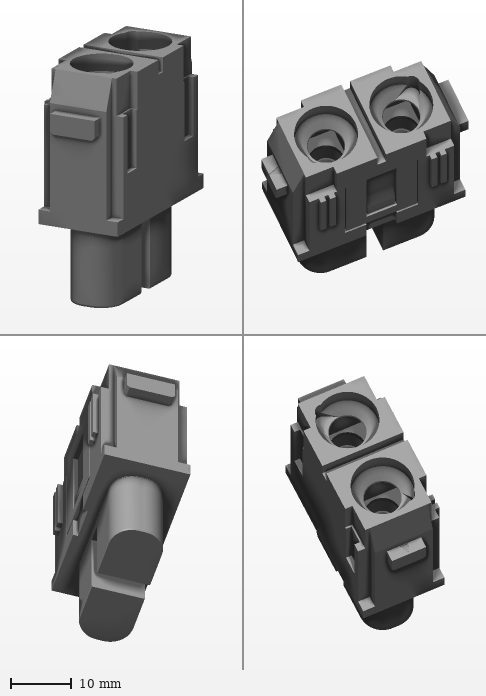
import cadquery as cq
import math

body_width = 14.75
body_length = 30.0
body_height = 26.5
end_wall_width = 10.5
flange_height = 2.5
corner_step = 2.0
end_chamfer_drop = 5.3

shoulder_drop = 6.45
shoulder_z = body_height - shoulder_drop
recess_inner_y = 8.05
recess_depth_left = 1.4
recess_depth_right = 1.3

top_slot_width = 1.55
top_slot_depth = 2.5

rib_height = 0.85
rib_width = 1.0
rib_length = 10.1
rib_centres = (9.1, 10.8)
rib_clearance = 0.25
pocket_depth = 1.0

lug_projection = 2.0
lug_height = 3.5
lug_chamfer = 0.5
front_lug_width = 8.3
rear_lug_width = 6.2
arrow_width = 1.4
arrow_length = 1.9
arrow_depth = 0.2

chamber_spacing = 13.5
chamber_radius = 5.25
chamber_depth = 3.0
funnel_radius = 3.15
funnel_depth = 4.25
lip_radius = 3.05
lip_depth = 4.5
cavity_width = 10.0
cavity_length = 7.0
cavity_depth = 10.0
seat_radius = 2.25
seat_depth = 13.0
seat_taper_height = 2.0
tip_radius = 2.0
tip_height = 2.5

key_angle = 133.5
key_root_radius = 2.75
key_end_radius = 1.4
key_end_distance = 4.25

panel_width = 12.7
panel_bottom_z = 4.45
slit_width = 0.2
gap_height = 0.53
latch_depth = 0.85
window_width = 5.5
window_bottom_z = 6.7
catch_width = 4.95
catch_clearance = 0.28
catch_height = 5.5
catch_face_height = 2.25
catch_projection = 0.6

tower_width = 9.2
tower_length = 24.1
tower_height = 14.0
tower_corner_radius = 4.0
collar_projection = 0.06
collar_height = 0.15
tower_edge_width = 0.1
tower_edge_height = 0.3
tower_slot_width = 3.0
tower_slot_depth = 12.2

side_x = body_width / 2
end_y = body_length / 2
step_y = end_y - corner_step


def block(x_range, y_range, z_range):
    """Box between the given limits along each axis."""
    (x0, x1), (y0, y1), (z0, z1) = x_range, y_range, z_range
    return cq.Workplane("XY").box(x1 - x0, y1 - y0, z1 - z0, centered=False).translate((x0, y0, z0))


def centred(width):
    """Limits of a span centred on zero."""
    return (-width / 2, width / 2)


def mirrored(span, sign):
    """The span itself, or its mirror image when sign is -1."""
    return tuple(sorted(sign * value for value in span))


def make_body():
    """Flanged housing with stepped corners and sloped upper ends."""
    flange = block(centred(body_width), centred(body_length), (0, flange_height))
    middle = block(centred(body_width), centred(2 * step_y), (0, body_height))
    end_walls = (
        cq.Workplane("YZ")
        .moveTo(-end_y, 0)
        .lineTo(end_y, 0)
        .lineTo(end_y, body_height - end_chamfer_drop)
        .lineTo(step_y, body_height)
        .lineTo(-step_y, body_height)
        .lineTo(-end_y, body_height - end_chamfer_drop)
        .close()
        .extrude(end_wall_width / 2, both=True)
    )
    return flange.union(middle).union(end_walls)


def make_tower():
    """Rounded tower with a thin collar and a narrowed bottom edge, split by a slot across X."""
    tower = (
        cq.Workplane("XY")
        .rect(tower_width, tower_length)
        .extrude(-tower_height)
        .edges("|Z")
        .fillet(tower_corner_radius)
        .faces("<Z")
        .chamfer(tower_edge_height, tower_edge_width)
    )
    collar = (
        cq.Workplane("XY")
        .rect(tower_width + 2 * collar_projection, tower_length + 2 * collar_projection)
        .extrude(-collar_height)
        .edges("|Z")
        .fillet(tower_corner_radius + collar_projection)
    )
    slot = block(
        centred(tower_width),
        centred(tower_slot_width),
        (-tower_height, tower_slot_depth - tower_height),
    )
    return tower.union(collar).cut(slot)


def make_lug(width, end):
    """Lug on the end wall; end is -1 for the -Y wall and 1 for the +Y wall."""
    y_range = mirrored((end_y - corner_step, end_y + lug_projection), end)
    lug = block(centred(width), y_range, (shoulder_z - lug_height, shoulder_z))
    return lug.edges("|Y and <Z").chamfer(lug_chamfer)


def make_arrow():
    """Shallow arrowhead sunk into the top of the +Y lug, pointing outward."""
    tip_y = end_y + lug_projection
    return (
        cq.Workplane("XY", origin=(0, 0, shoulder_z - arrow_depth))
        .moveTo(0, tip_y)
        .lineTo(-arrow_width / 2, tip_y - arrow_length)
        .lineTo(arrow_width / 2, tip_y - arrow_length)
        .close()
        .extrude(arrow_depth)
    )


def make_ribs():
    """Two guide ribs near each end of the -X side."""
    ribs = cq.Workplane("XY")
    for end in (-1, 1):
        for centre in rib_centres:
            y_range = mirrored((centre - rib_width / 2, centre + rib_width / 2), end)
            rib = block((-side_x - rib_height, -side_x), y_range, (shoulder_z - rib_length, shoulder_z))
            ribs = ribs.union(rib)
    return ribs


def make_side_recesses():
    """Upper side recesses, and below those on +X the pockets for guide ribs."""
    cuts = cq.Workplane("XY")
    rib_pair = (
        min(rib_centres) - rib_width / 2 - rib_clearance,
        max(rib_centres) + rib_width / 2 + rib_clearance,
    )
    for end in (-1, 1):
        recess_y = mirrored((recess_inner_y, step_y), end)
        recess_z = (shoulder_z, body_height)
        left = block((-side_x, -side_x + recess_depth_left), recess_y, recess_z)
        right = block((side_x - recess_depth_right, side_x), recess_y, recess_z)
        pocket = block(
            (side_x - pocket_depth, side_x),
            mirrored(rib_pair, end),
            (shoulder_z - rib_length, shoulder_z),
        )
        cuts = cuts.union(left).union(right).union(pocket)
    return cuts


def make_key_slot():
    """Tapered slot along +X with a round end, cut down to the funnel bottom."""
    tangent_angle = math.acos((key_root_radius - key_end_radius) / key_end_distance)
    root_x = key_root_radius * math.cos(tangent_angle)
    root_y = key_root_radius * math.sin(tangent_angle)
    end_x = key_end_distance + key_end_radius * math.cos(tangent_angle)
    end_half_width = key_end_radius * math.sin(tangent_angle)
    return (
        cq.Workplane("XY")
        .moveTo(root_x, -root_y)
        .lineTo(end_x, -end_half_width)
        .threePointArc((key_end_distance + key_end_radius, 0), (end_x, end_half_width))
        .lineTo(root_x, root_y)
        .close()
        .extrude(-funnel_depth)
    )


def make_chamber(end):
    """Funnelled contact chamber with a key slot, opening into a rectangular cavity over a conical tip."""
    bore = (
        cq.Workplane("XZ")
        .moveTo(0, 0)
        .lineTo(chamber_radius, 0)
        .lineTo(chamber_radius, -chamber_depth)
        .lineTo(funnel_radius, -funnel_depth)
        .lineTo(lip_radius, -lip_depth)
        .lineTo(lip_radius, seat_taper_height - seat_depth)
        .lineTo(seat_radius, -seat_depth)
        .lineTo(tip_radius, -seat_depth)
        .lineTo(0, tip_height - seat_depth)
        .close()
        .revolve(360, (0, 0), (0, 1))
    )
    cavity = block(centred(cavity_width), centred(cavity_length), (-cavity_depth, -lip_depth))
    turn = key_angle if end > 0 else key_angle + 180
    key_slot = make_key_slot().rotate((0, 0, 0), (0, 0, 1), turn)
    return bore.union(cavity).union(key_slot).translate((0, end * chamber_spacing / 2, body_height))


def make_latch_cuts():
    """Slits around the latch panel, its window and the notch under it."""
    depth_x = (-side_x, -side_x + latch_depth)
    outer_width = panel_width + 2 * slit_width
    gap_bottom_z = panel_bottom_z - gap_height
    window = block(depth_x, centred(window_width), (window_bottom_z, shoulder_z))
    gap = block(depth_x, centred(outer_width), (gap_bottom_z, panel_bottom_z))
    notch = block(depth_x, centred(window_width), (0, gap_bottom_z))
    cuts = window.union(gap).union(notch)
    for side in (-1, 1):
        slit_y = mirrored((panel_width / 2, outer_width / 2), side)
        cuts = cuts.union(block(depth_x, slit_y, (gap_bottom_z, shoulder_z)))
    return cuts


def make_catch():
    """Ramped catch standing on the floor of the latch window."""
    floor_x = -side_x + latch_depth
    bottom_z = window_bottom_z + catch_clearance
    return (
        cq.Workplane("XZ")
        .moveTo(floor_x, bottom_z)
        .lineTo(floor_x - catch_projection, bottom_z)
        .lineTo(floor_x - catch_projection, bottom_z + catch_face_height)
        .lineTo(floor_x, bottom_z + catch_height)
        .close()
        .extrude(catch_width / 2, both=True)
    )


top_slot = block(
    centred(body_width),
    centred(top_slot_width),
    (body_height - top_slot_depth, body_height),
)

result = make_body().union(make_tower())
result = result.cut(make_side_recesses()).cut(top_slot).cut(make_latch_cuts())
result = result.union(make_catch()).union(make_ribs())
for end_side, lug_width in ((-1, front_lug_width), (1, rear_lug_width)):
    result = result.union(make_lug(lug_width, end_side))
    result = result.cut(make_chamber(end_side))
result = result.cut(make_arrow())